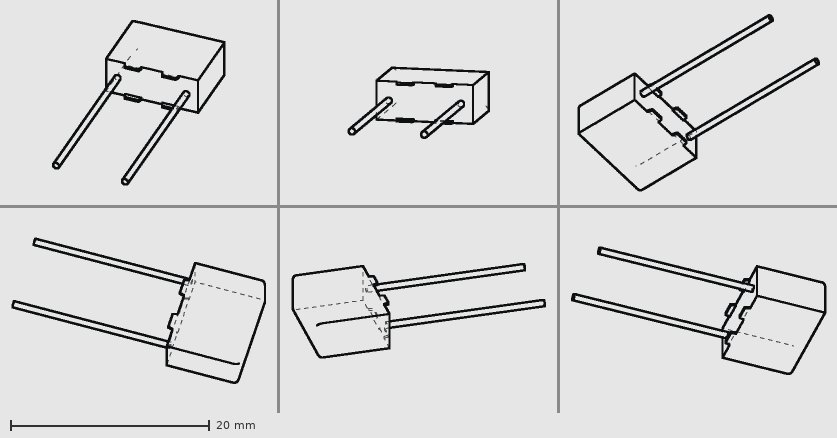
import cadquery as cq

housing_width = 10.0
housing_depth = 7.5
housing_height = 4.0
back_radius = 0.48

tab_length = 0.5
tab_thickness = 0.22
tab_root_width = 1.8
tab_tip_width = 1.5
tab_spacing = 4.05

overall_length = 24.0
lead_diameter = 0.67
lead_spacing = 7.5
lead_length = overall_length - housing_depth


def make_tab(center_x, bottom_z):
    """Tapered tab pointing to -Y from the front face at Y = 0."""
    return (
        cq.Workplane("XY", origin=(center_x, 0, bottom_z))
        .moveTo(-tab_root_width / 2, 0)
        .lineTo(-tab_tip_width / 2, -tab_length)
        .lineTo(tab_tip_width / 2, -tab_length)
        .lineTo(tab_root_width / 2, 0)
        .close()
        .extrude(tab_thickness)
    )


def make_housing():
    """Box with rounded back edges and four stand-off tabs."""
    body = (
        cq.Workplane("XY")
        .box(housing_width, housing_depth, housing_height, centered=(True, False, True))
        .faces(">Y")
        .edges()
        .fillet(back_radius)
    )
    lower_tab_z = -housing_height / 2
    upper_tab_z = housing_height / 2 - tab_thickness
    for side in (-1, 1):
        for bottom_z in (lower_tab_z, upper_tab_z):
            body = body.union(make_tab(side * tab_spacing / 2, bottom_z))
    return body


def make_lead(center_x):
    """Round wire running from the front face to -Y."""
    return (
        cq.Workplane("XZ", origin=(center_x, 0, 0))
        .circle(lead_diameter / 2)
        .extrude(lead_length)
    )


housing = make_housing()
leads = [make_lead(side * lead_spacing / 2) for side in (-1, 1)]

result = cq.Compound.makeCompound([housing.val(), *[lead.val() for lead in leads]])